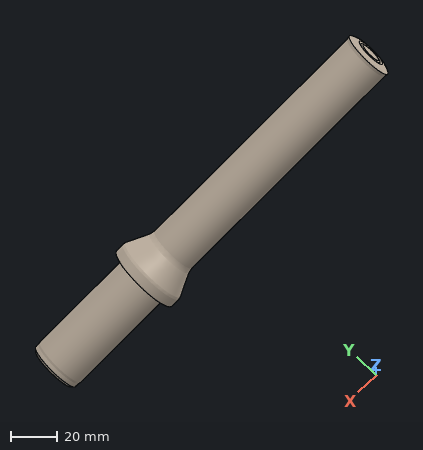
import cadquery as cq

total_length = 198.0
cone_start = 124.7
cone_end = 136.6
collar_end = 142.0

shank_diameter = 23.0
lip_diameter = 23.5
lip_position = 1.4
lip_taper_end = 3.0
collar_diameter = 34.0
collar_edge_fillet = 0.5
cone_base_fillet = 6.0
cone_top_fillet = 3.0

face_diameter = 20.5
groove_outer_diameter = 14.0
groove_bottom_diameter = 11.5
dish_diameter = 9.3
face_dome_height = 0.5
groove_depth = 0.3
dish_depth = 0.4

head_diameter = 25.0
relief_diameter = 24.5
neck_end = 142.4
neck_taper_end = 143.4
tip_taper_start = 193.8
tip_taper_end = 194.8
tip_chamfer = 1.2


def revolve_about_x(outline):
    """Close an outline drawn as X against radius and turn it about the X axis."""
    return outline.close().revolve(360, (0, 0, 0), (1, 0, 0))


def circle_at(x, diameter):
    """Select circular edges centred near x, within a box wider than the given diameter."""
    margin = 0.2
    return cq.selectors.BoxSelector((x - margin, -diameter, -diameter), (x + margin, diameter, diameter))


def make_shank():
    shank_radius = shank_diameter / 2
    collar_radius = collar_diameter / 2
    body = revolve_about_x(
        cq.Workplane("XY")
        .moveTo(dish_depth, 0)
        .lineTo(0, dish_diameter / 2)
        .lineTo(groove_depth, groove_bottom_diameter / 2)
        .lineTo(0, groove_outer_diameter / 2)
        .lineTo(face_dome_height, face_diameter / 2)
        .lineTo(lip_position, lip_diameter / 2)
        .lineTo(lip_taper_end, shank_radius)
        .lineTo(cone_start, shank_radius)
        .lineTo(cone_end, collar_radius)
        .lineTo(collar_end, collar_radius)
        .lineTo(collar_end, 0)
    )
    body = body.edges(circle_at(cone_start, shank_diameter)).fillet(cone_base_fillet)
    body = body.edges(circle_at(cone_end, collar_diameter)).fillet(cone_top_fillet)
    return body.edges(circle_at(collar_end, collar_diameter)).fillet(collar_edge_fillet)


def make_head():
    head_radius = head_diameter / 2
    relief_radius = relief_diameter / 2
    return revolve_about_x(
        cq.Workplane("XY")
        .moveTo(collar_end, 0)
        .lineTo(collar_end, relief_radius)
        .lineTo(neck_end, relief_radius)
        .lineTo(neck_taper_end, head_radius)
        .lineTo(tip_taper_start, head_radius)
        .lineTo(tip_taper_end, relief_radius)
        .lineTo(total_length - tip_chamfer, relief_radius)
        .lineTo(total_length, relief_radius - tip_chamfer)
        .lineTo(total_length, 0)
    )


shank = make_shank()
head = make_head()
result = cq.Compound.makeCompound([shank.val(), head.val()])